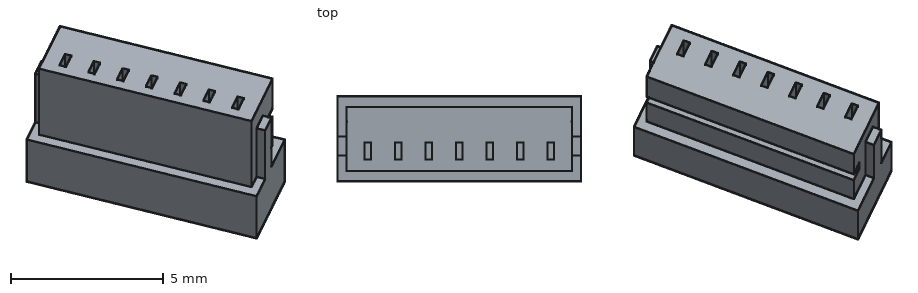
import cadquery as cq

base_length = 8.0
base_width = 2.8
base_height = 1.95

total_height = 5.0
ledge = 0.35
end_ledge = 0.3
housing_length = base_length - 2 * end_ledge
housing_width = base_width - 2 * ledge
housing_back = housing_width / 2

rib_front = -0.55
rib_back = 0.07
rib_top = 4.2

groove_depth = 0.48
groove_top = 3.63
groove_inner_bottom = 3.27
groove_outer_bottom = 3.23

slot_count = 7
slot_pitch = 1.0
slot_length = 0.22
slot_width = 0.55
slot_center_y = -0.4
slot_depth = 1.0


def block(length, y_front, y_back, z_bottom, z_top):
    """Box centred on X between the given Y and Z limits."""
    width = y_back - y_front
    height = z_top - z_bottom
    return cq.Workplane("XY").box(length, width, height, centered=(True, False, False)).translate(
        (0, y_front, z_bottom)
    )


def make_body():
    base = block(base_length, -base_width / 2, base_width / 2, 0, base_height)
    housing = block(housing_length, -housing_back, housing_back, 0, total_height)
    ribs = block(base_length, rib_front, rib_back, 0, rib_top)
    return base.union(housing).union(ribs)


def make_latch_groove():
    groove_floor = housing_back - groove_depth
    profile = [
        (groove_floor, groove_inner_bottom),
        (housing_back, groove_outer_bottom),
        (housing_back, groove_top),
        (groove_floor, groove_top),
    ]
    return cq.Workplane("YZ").polyline(profile).close().extrude(housing_length / 2, both=True)


def make_contact_slots():
    return (
        cq.Workplane("XY", origin=(0, slot_center_y, total_height))
        .rarray(slot_pitch, slot_pitch, slot_count, 1)
        .rect(slot_length, slot_width)
        .extrude(-slot_depth)
    )


result = make_body().cut(make_latch_groove()).cut(make_contact_slots())